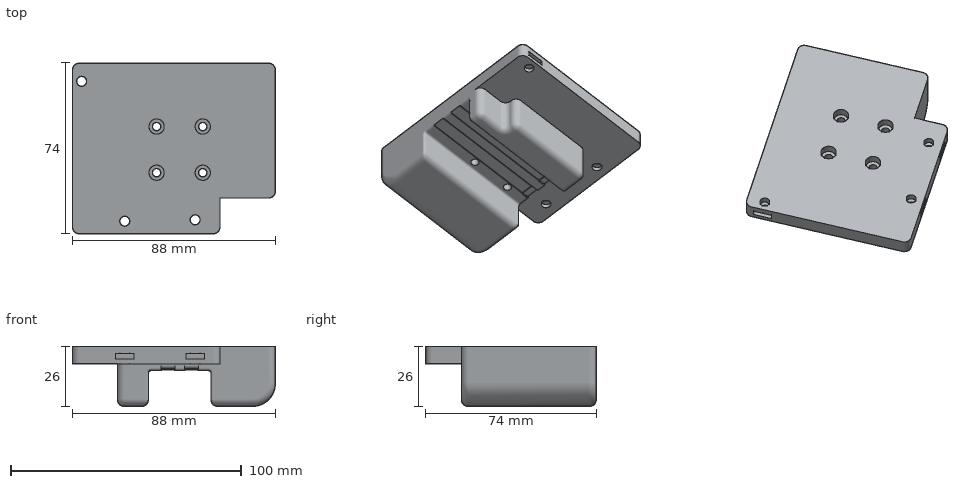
import cadquery as cq


LENGTH = 88.0
WIDTH = 74.0
HEIGHT = 26.0
EDGE_RADIUS = 3.0

PLATE_THICKNESS = 7.5
NOTCH_LEFT = 64.0
NOTCH_DEPTH = 15.5
PLATE_BOTTOM = HEIGHT - PLATE_THICKNESS

BODY_LEFT = 19.5
BODY_FRONT = NOTCH_DEPTH
STEP_LEFT = 26.0
STEP_Y = WIDTH - NOTCH_DEPTH
LARGE_CORNER_RADIUS = 10.0

CHANNEL_WIDTH = 27.0
CHANNEL_CENTRE_X = 46.5
CHANNEL_TOP = 15.5
CHANNEL_RADIUS = 1.0
CHANNEL_LEFT = CHANNEL_CENTRE_X - CHANNEL_WIDTH / 2
CHANNEL_RIGHT = CHANNEL_CENTRE_X + CHANNEL_WIDTH / 2

GROOVE_WIDTH = 6.2
GROOVE_SPACING = 10.2
GROOVE_DEPTH = 0.4
GROOVE_FRONT_DEPTH = 1.0
GROOVE_FRONT_LENGTH = 4.0
GROOVE_SIDE_STEP = 0.3

BOLT_SPACING = 20.0
BOLT_CENTRE = (CHANNEL_CENTRE_X, 36.5)
BOLT_DIAMETER = 3.5
COUNTERBORE_DIAMETER = 6.6
COUNTERBORE_DEPTH = 4.0

SCREW_DIAMETER = 4.2
FRONT_SCREWS = [(22.7, 5.5), (53.2, 6.1)]
LEFT_SCREW = (4.0, 66.1)
SLOT_WIDTH = 8.1
SLOT_HEIGHT = 2.4
PLATE_ABOVE_SLOT = 3.0
SLOT_TOP = HEIGHT - PLATE_ABOVE_SLOT
SLOT_PAST_HOLE = SLOT_WIDTH / 2

TOLERANCE = 0.01


def box_between(low, high):
    """Box spanning two opposite corners."""
    size = [b - a for a, b in zip(low, high)]
    return cq.Workplane("XY").box(*size, centered=False).translate(low)


def make_plate():
    """Plate with rounded outer corners and a sharp inner corner at the notch."""
    left_part = box_between((0, 0, PLATE_BOTTOM), (NOTCH_LEFT, WIDTH, HEIGHT))
    rear_part = box_between((0, NOTCH_DEPTH, PLATE_BOTTOM), (LENGTH, WIDTH, HEIGHT))
    rounded_parts = [part.edges("|Z").fillet(EDGE_RADIUS) for part in (left_part, rear_part)]
    return rounded_parts[0].union(rounded_parts[1])


def make_body():
    """Two legs and their bridge, with rounded outer and channel edges."""
    body = (
        cq.Workplane("XY")
        .moveTo(BODY_LEFT, BODY_FRONT)
        .lineTo(LENGTH, BODY_FRONT)
        .lineTo(LENGTH, WIDTH)
        .lineTo(STEP_LEFT, WIDTH)
        .lineTo(STEP_LEFT, STEP_Y)
        .lineTo(BODY_LEFT, STEP_Y)
        .close()
        .extrude(HEIGHT)
    )
    body = body.edges("|Y and >X and <Z").fillet(LARGE_CORNER_RADIUS)
    channel = box_between((CHANNEL_LEFT, BODY_FRONT, 0), (CHANNEL_RIGHT, WIDTH, CHANNEL_TOP))
    body = body.cut(channel.edges("|Y and >Z").fillet(CHANNEL_RADIUS))

    channel_zone = cq.selectors.BoxSelector(
        (CHANNEL_LEFT - TOLERANCE, 0, TOLERANCE),
        (CHANNEL_RIGHT + TOLERANCE, WIDTH + TOLERANCE, CHANNEL_TOP + TOLERANCE),
    )
    for end_face in ("<Y", ">Y"):
        body = body.faces(end_face).edges(channel_zone).fillet(CHANNEL_RADIUS)

    outer_corners = body.edges("|Z")
    bottom_rims = body.faces("<Z").edges()
    return outer_corners.add(bottom_rims).fillet(EDGE_RADIUS)


def make_groove(centre_x):
    """Cutter for one ceiling groove: a wide front end with a flared mouth, then a shallow run."""
    base_z = CHANNEL_TOP - CHANNEL_RADIUS
    front_z = CHANNEL_TOP + GROOVE_FRONT_DEPTH
    run_z = CHANNEL_TOP + GROOVE_DEPTH
    front_end = BODY_FRONT + GROOVE_FRONT_LENGTH
    slope = front_z - run_z
    front = (
        cq.Workplane("YZ", origin=(centre_x, 0, 0))
        .moveTo(BODY_FRONT, base_z)
        .lineTo(BODY_FRONT, front_z + CHANNEL_RADIUS)
        .radiusArc((BODY_FRONT + CHANNEL_RADIUS, front_z), -CHANNEL_RADIUS)
        .lineTo(front_end - slope, front_z)
        .lineTo(front_end, run_z)
        .lineTo(front_end, base_z)
        .close()
        .extrude(GROOVE_WIDTH / 2, both=True)
    )
    half_run = GROOVE_WIDTH / 2 - GROOVE_SIDE_STEP
    run = box_between((centre_x - half_run, BODY_FRONT, base_z), (centre_x + half_run, WIDTH, run_z))
    return front.union(run)


def make_bolt_holes():
    """Cutter for the four bolt holes, counterbored from the top."""
    centres = cq.Workplane("XY", origin=(*BOLT_CENTRE, HEIGHT)).rarray(BOLT_SPACING, BOLT_SPACING, 2, 2)
    shanks = centres.circle(BOLT_DIAMETER / 2).extrude(-HEIGHT)
    heads = centres.circle(COUNTERBORE_DIAMETER / 2).extrude(-COUNTERBORE_DEPTH)
    return shanks.union(heads)


def make_screw_hole(x, y):
    """Cutter for one screw hole through the plate."""
    return cq.Workplane("XY", origin=(x, y, PLATE_BOTTOM)).circle(SCREW_DIAMETER / 2).extrude(PLATE_THICKNESS)


def make_front_slot(x, y):
    """Cutter for a nut slot running from the front edge to past the screw hole."""
    half = SLOT_WIDTH / 2
    return box_between((x - half, 0, SLOT_TOP - SLOT_HEIGHT), (x + half, y + SLOT_PAST_HOLE, SLOT_TOP))


def make_left_slot(x, y):
    """Cutter for a nut slot running from the left edge to past the screw hole."""
    half = SLOT_WIDTH / 2
    return box_between((0, y - half, SLOT_TOP - SLOT_HEIGHT), (x + SLOT_PAST_HOLE, y + half, SLOT_TOP))


part = make_plate().union(make_body())
for side in (-1, 1):
    part = part.cut(make_groove(CHANNEL_CENTRE_X + side * GROOVE_SPACING / 2))
part = part.cut(make_bolt_holes())
for screw in FRONT_SCREWS:
    part = part.cut(make_screw_hole(*screw)).cut(make_front_slot(*screw))
part = part.cut(make_screw_hole(*LEFT_SCREW)).cut(make_left_slot(*LEFT_SCREW))

result = part